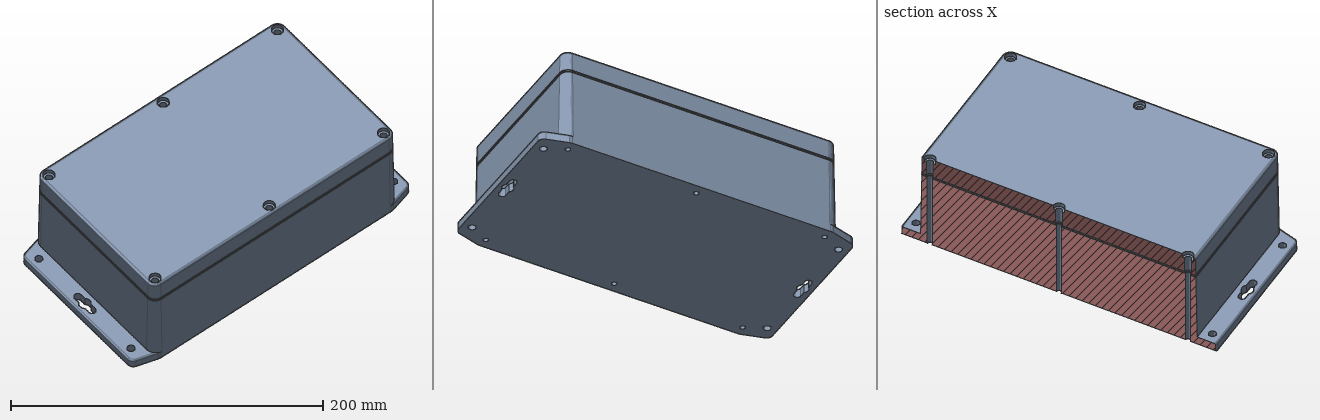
import cadquery as cq
import math

width = 122.1
length = 230.0
height = 75.0
draft = 1.0

box_length = 202.2
corner_radius = 7.1

screw_x = 54.0
screw_y = 94.0

base_height = 58.6
gasket_thickness = 1.4
gasket_inset = 0.5
lid_edge_radius = 1.5

lid_hole_diameter = 4.5
base_hole_diameter = 3.5
counterbore_diameter = 7.8
counterbore_depth = 3.0

flange_thickness = 6.5
flange_edge_radius = 1.04
flange_corner_radius = 4.5
flange_side_angle = 15.6
shoulder_y = 95.7
shoulder_radius = 7.5

mount_y = 108.0
mount_hole_x = 47.0
mount_hole_diameter = 5.0
slot_length = 19.5
slot_centre_diameter = 8.0

draft_slope = math.tan(math.radians(draft))
corner_x = width / 2 - corner_radius
corner_y = box_length / 2 - corner_radius
parting_radius = corner_radius - base_height * draft_slope
gasket_top = base_height + gasket_thickness
lid_height = height - gasket_top

screw_points = [(sx * screw_x, sy * screw_y) for sx in (-1, 1) for sy in (-1, 0, 1)]
mount_hole_points = [(sx * mount_hole_x, sy * mount_y) for sx in (-1, 1) for sy in (-1, 1)]
slot_points = [(0, -mount_y), (0, mount_y)]


def rounded_block(radius, bottom, block_height, taper=0.0):
    """Block with vertical corners rounded about the shared corner axes."""
    return (
        cq.Workplane("XY", origin=(0, 0, bottom))
        .sketch()
        .rect(2 * (corner_x + radius), 2 * (corner_y + radius))
        .vertices()
        .fillet(radius)
        .finalize()
        .extrude(block_height, taper=taper)
    )


def through_holes(body, points, diameter):
    """Round holes through the whole height of a body."""
    cutters = cq.Workplane("XY").pushPoints(points).circle(diameter / 2).extrude(height)
    return body.cut(cutters)


def make_flange_plate():
    """Foot plate whose two narrowing ends form the mounting flanges."""
    side_x = width / 2
    end_y = length / 2
    end_x = side_x - (end_y - shoulder_y) * math.tan(math.radians(flange_side_angle))
    outline = [
        (side_x, -shoulder_y),
        (side_x, shoulder_y),
        (end_x, end_y),
        (-end_x, end_y),
        (-side_x, shoulder_y),
        (-side_x, -shoulder_y),
        (-end_x, -end_y),
        (end_x, -end_y),
    ]
    profile = (
        cq.Sketch()
        .polygon(outline + outline[:1])
        .vertices(">Y or <Y")
        .fillet(flange_corner_radius)
        .reset()
        .vertices(">X or <X")
        .fillet(shoulder_radius)
    )
    plate = cq.Workplane("XY").placeSketch(profile).extrude(flange_thickness, taper=draft)
    return plate.faces(">Z").edges().fillet(flange_edge_radius)


def make_mounting_slots():
    """Cutters for the keyhole slots: a long slot with a round opening in its middle."""
    slots = (
        cq.Workplane("XY")
        .pushPoints(slot_points)
        .slot2D(slot_length, mount_hole_diameter)
        .extrude(flange_thickness)
    )
    openings = (
        cq.Workplane("XY")
        .pushPoints(slot_points)
        .circle(slot_centre_diameter / 2)
        .extrude(flange_thickness)
    )
    return slots.union(openings)


def make_base():
    """Drafted box on a flanged foot, with mounting openings and screw holes."""
    box = rounded_block(corner_radius, 0, base_height, draft)
    body = box.union(make_flange_plate())
    body = body.cut(make_mounting_slots())
    body = through_holes(body, mount_hole_points, mount_hole_diameter)
    return through_holes(body, screw_points, base_hole_diameter).solids()


def make_gasket():
    """Thin seal set slightly back from the walls, between base and lid."""
    sheet = rounded_block(parting_radius - gasket_inset, base_height, gasket_thickness)
    return through_holes(sheet, screw_points, lid_hole_diameter).solids()


def make_lid():
    """Drafted cover with a rounded top edge and counterbored screw holes."""
    cover = rounded_block(parting_radius, gasket_top, lid_height, draft)
    cover = cover.faces(">Z").edges().fillet(lid_edge_radius)
    counterbores = (
        cq.Workplane("XY", origin=(0, 0, height - counterbore_depth))
        .pushPoints(screw_points)
        .circle(counterbore_diameter / 2)
        .extrude(counterbore_depth)
    )
    return through_holes(cover.cut(counterbores), screw_points, lid_hole_diameter).solids()


base = make_base()
gasket = make_gasket()
lid = make_lid()

result = cq.Compound.makeCompound([base.val(), gasket.val(), lid.val()])